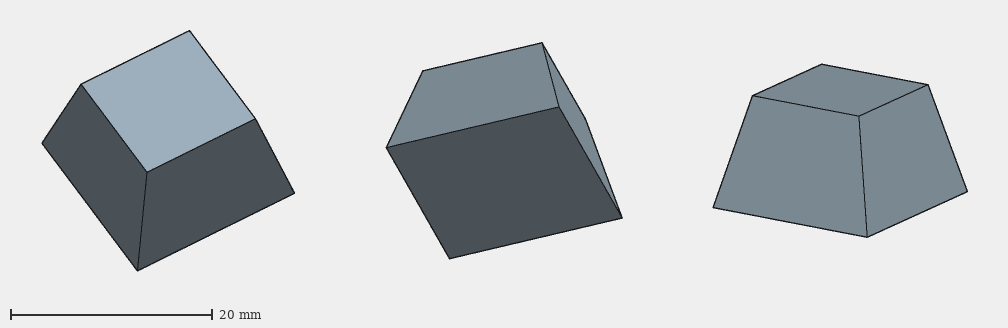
import cadquery as cq

base_side = 18.3
top_side = 12.63
height = 11.4

result = (
    cq.Workplane("XY")
    .rect(base_side, base_side)
    .workplane(offset=height)
    .rect(top_side, top_side)
    .loft(ruled=True, combine=True)
)